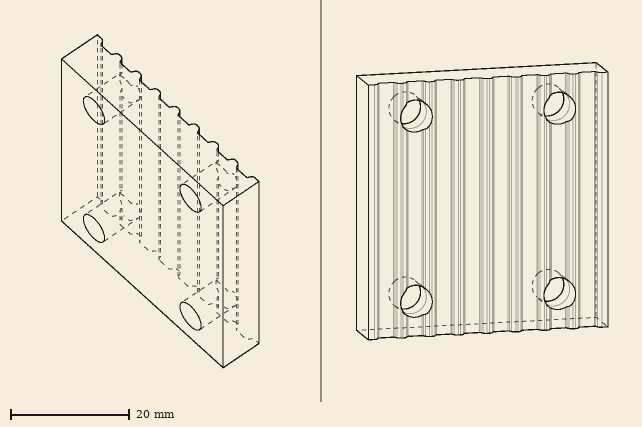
import cadquery as cq
import math

width = 41.8
thickness = 8.0
height = 44.0

hole_diameter = 5.5
hole_spacing_x = 25.0
hole_spacing_z = 32.0

groove_count = 8
end_tooth_inset = 0.9
groove_depth = 1.0
groove_mid_width = 3.25
flank_angle = 25.0
tip_radius = 0.7
root_radius = 0.2

tooth_pitch = (width - 2 * end_tooth_inset) / groove_count
flank_run = groove_depth * math.tan(math.radians(flank_angle))
groove_mouth_width = groove_mid_width + flank_run
groove_floor_width = groove_mid_width - flank_run

back_y = thickness / 2
groove_floor_y = back_y - groove_depth


def groove_centre(index):
    """X position of a groove, counted from the -X side."""
    return -width / 2 + end_tooth_inset + (index + 0.5) * tooth_pitch


def toothed_plate():
    """Plate with sharp-cornered teeth on its +Y face, extruded along Z."""
    outline = [(-width / 2, -back_y), (-width / 2, back_y)]
    for index in range(groove_count):
        x = groove_centre(index)
        outline += [
            (x - groove_mouth_width / 2, back_y),
            (x - groove_floor_width / 2, groove_floor_y),
            (x + groove_floor_width / 2, groove_floor_y),
            (x + groove_mouth_width / 2, back_y),
        ]
    outline += [(width / 2, back_y), (width / 2, -back_y)]
    return cq.Workplane("XY", origin=(0, 0, -height / 2)).polyline(outline).close().extrude(height)


def round_groove_edges(plate, edge_spacing, y, radius):
    """Round the pair of vertical edges, edge_spacing apart, at depth y in every groove."""
    edge_points = [
        (groove_centre(index) + side * edge_spacing / 2, y, 0)
        for index in range(groove_count)
        for side in (-1, 1)
    ]
    edges = [plate.edges(cq.NearestToPointSelector(point)).val() for point in edge_points]
    return plate.newObject(edges).fillet(radius)


def bolt_holes():
    """Four cylinders along Y that pass through the whole plate."""
    return (
        cq.Workplane("XZ")
        .rarray(hole_spacing_x, hole_spacing_z, 2, 2)
        .circle(hole_diameter / 2)
        .extrude(thickness, both=True)
    )


plate = toothed_plate()
plate = round_groove_edges(plate, groove_mouth_width, back_y, tip_radius)
plate = round_groove_edges(plate, groove_floor_width, groove_floor_y, root_radius)
result = plate.cut(bolt_holes())